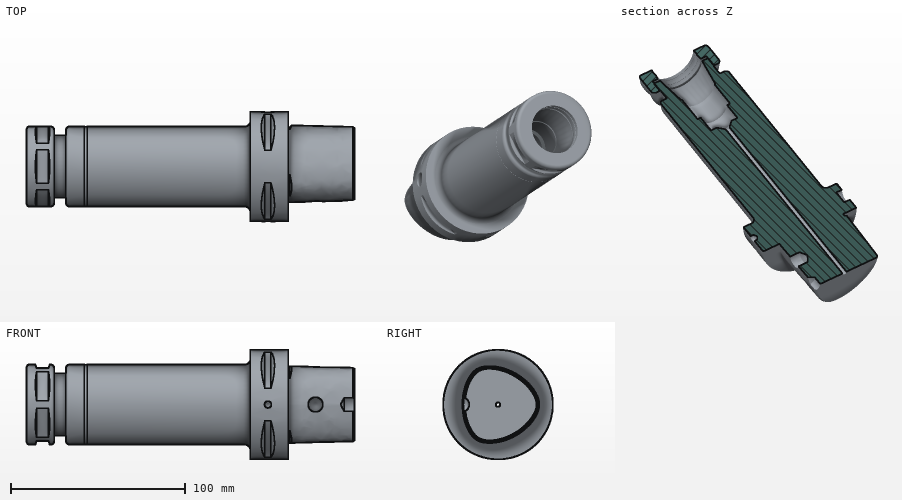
import cadquery as cq
import math

OVERALL_LENGTH = 188.0

NUT_LENGTH = 16.0
NUT_DIAMETER = 46.0
NUT_FRONT_ROUNDING = 1.9
NUT_BACK_ROUNDING = 2.3
NUT_MOUTH_DIAMETER = 28.0
NUT_RELIEF_DIAMETER = 28.4
NUT_GROOVE_START = 1.9
NUT_GROOVE_END = 3.5
NUT_RELIEF_START = 5.3
NUT_THROAT_LENGTH = 7.7
NUT_FLAT_COUNT = 6
NUT_ACROSS_FLATS = 42.0
NUT_FLAT_WIDTH = 6.8
NUT_FLAT_CENTER = 9.2
NUT_FLAT_WALL_ANGLE = 20.0

HOLDER_START = 9.2
NECK_DIAMETER = 36.0
BODY_START = 22.5
BODY_DIAMETER = 46.0
BODY_ROUNDING = 2.3
GROOVE_START = 33.0
GROOVE_WIDTH = 1.7
GROOVE_DEPTH = 0.1
COVE_RADIUS = 3.0
COVE_HEIGHT = 2.6

TAPER_MOUTH_DIAMETER = 28.2
TAPER_END_DIAMETER = 23.0
TAPER_HALF_ANGLE = 8.0
BORE_DIAMETER = 21.8
BORE_END = 45.1
STOP_HOLE_DIAMETER = 17.7
STOP_HOLE_END = 56.4
CENTER_CONE_DIAMETER = 9.8
CENTER_CONE_ANGLE = 90.0
COOLANT_DIAMETER = 2.5

FLANGE_DIAMETER = 63.0
FLANGE_START = 128.2
FLANGE_END = 150.0
GRIP_SLOT_COUNT = 4
GRIP_SLOT_HEIGHT = 27.8
GRIP_SLOT_WIDTH = 3.4
RIM_CUTS_CENTER = 138.4
GRIP_SLOT_WALL_ANGLE = 30.0
MARK_HOLE_DIAMETER = 4.0
MARK_HOLE_DEPTH = 1.9
CHIP_POCKET_DIAMETER = 8.5
CHIP_POCKET_DEPTH = 3.8

SHANK_DIAMETER = 44.2
LOBE_RISE = 1.6
HALF_OUTLINE_STEPS = 12
SHANK_TAPER = 1 / 40
TAPER_START = 152.0
UNDERCUT_RADIUS = 22.5
SHANK_CHAMFER_LENGTH = 1.1
SHANK_CHAMFER_HEIGHT = 0.8
SIDE_HOLE_DIAMETER = 8.5
SIDE_HOLE_CENTER = 165.6
SIDE_HOLE_DEPTH = 6.5
NOTCH_DIAMETER = 8.0
NOTCH_LENGTH = 5.8

DRILL_POINT_ANGLE = 118.0
CUT_CLEARANCE = 1.9


def revolve_about_x(profile):
    """Revolve a closed (x, radius) profile once around the X axis."""
    return profile.close().revolve(360, (0, 0, 0), (1, 0, 0))


def drill_point_length(diameter):
    return diameter / 2 / math.tan(math.radians(DRILL_POINT_ANGLE / 2))


def drill(tip, direction, diameter, length):
    """Drill-shaped tool that ends in a point at `tip` and extends backwards along `direction`."""
    point_length = drill_point_length(diameter)
    radius = diameter / 2
    plane = cq.Plane(origin=tip, xDir=(0, 0, 1), normal=direction)
    point = cq.Solid.makeCone(0, radius, point_length, plane.origin, plane.zDir)
    shaft = cq.Solid.makeCylinder(radius, length, plane.origin + plane.zDir * point_length, plane.zDir)
    return cq.Workplane(point).union(cq.Workplane(shaft))


def flared_slot(center_x, height, floor_width, wall_angle, outer_radius, angle):
    """Straight cut across a round rim: flat floor at `height`, side walls leaning outwards."""
    depth = outer_radius + CUT_CLEARANCE - height
    half_floor = floor_width / 2
    half_top = half_floor + depth * math.tan(math.radians(wall_angle))
    tool = (
        cq.Workplane("XZ")
        .moveTo(center_x - half_floor, height)
        .lineTo(center_x + half_floor, height)
        .lineTo(center_x + half_top, height + depth)
        .lineTo(center_x - half_top, height + depth)
        .close()
        .extrude(outer_radius, both=True)
    )
    return tool.rotate((0, 0, 0), (1, 0, 0), angle)


def make_nut():
    outer_radius = NUT_DIAMETER / 2
    neck_radius = NECK_DIAMETER / 2
    mouth_radius = NUT_MOUTH_DIAMETER / 2
    relief_radius = NUT_RELIEF_DIAMETER / 2
    nut = revolve_about_x(
        cq.Workplane("XY")
        .moveTo(0, mouth_radius)
        .lineTo(0, outer_radius - NUT_FRONT_ROUNDING)
        .radiusArc((NUT_FRONT_ROUNDING, outer_radius), NUT_FRONT_ROUNDING)
        .lineTo(NUT_LENGTH - NUT_BACK_ROUNDING, outer_radius)
        .radiusArc((NUT_LENGTH, outer_radius - NUT_BACK_ROUNDING), NUT_BACK_ROUNDING)
        .lineTo(NUT_LENGTH, neck_radius)
        .lineTo(NUT_THROAT_LENGTH, neck_radius)
        .lineTo(NUT_THROAT_LENGTH, relief_radius)
        .lineTo(NUT_RELIEF_START, relief_radius)
        .lineTo(NUT_RELIEF_START, mouth_radius)
        .lineTo(NUT_GROOVE_END, mouth_radius)
        .lineTo(NUT_GROOVE_END, relief_radius)
        .lineTo(NUT_GROOVE_START, relief_radius)
        .lineTo(NUT_GROOVE_START, mouth_radius)
    )
    for index in range(NUT_FLAT_COUNT):
        angle = index * 360 / NUT_FLAT_COUNT
        flat = flared_slot(
            NUT_FLAT_CENTER, NUT_ACROSS_FLATS / 2, NUT_FLAT_WIDTH, NUT_FLAT_WALL_ANGLE, outer_radius, angle
        )
        nut = nut.cut(flat)
    return nut


def make_body_and_flange():
    body_radius = BODY_DIAMETER / 2
    groove_radius = body_radius - GROOVE_DEPTH
    groove_end = GROOVE_START + GROOVE_WIDTH
    cove_run = math.sqrt(COVE_RADIUS**2 - (COVE_RADIUS - COVE_HEIGHT) ** 2)
    return revolve_about_x(
        cq.Workplane("XY")
        .moveTo(HOLDER_START, 0)
        .lineTo(HOLDER_START, NECK_DIAMETER / 2)
        .lineTo(BODY_START, NECK_DIAMETER / 2)
        .lineTo(BODY_START, body_radius - BODY_ROUNDING)
        .radiusArc((BODY_START + BODY_ROUNDING, body_radius), BODY_ROUNDING)
        .lineTo(GROOVE_START, body_radius)
        .lineTo(GROOVE_START, groove_radius)
        .lineTo(groove_end, groove_radius)
        .lineTo(groove_end, body_radius)
        .lineTo(FLANGE_START - cove_run, body_radius)
        .radiusArc((FLANGE_START, body_radius + COVE_HEIGHT), -COVE_RADIUS)
        .lineTo(FLANGE_START, FLANGE_DIAMETER / 2)
        .lineTo(FLANGE_END, FLANGE_DIAMETER / 2)
        .lineTo(FLANGE_END, 0)
    )


def shank_outline(x, mean_radius):
    """Three-lobed outline of constant width, with one lobe towards +Y and a flat side towards -Y."""

    def point(angle):
        y = mean_radius * math.cos(angle) + LOBE_RISE * (2 * math.cos(2 * angle) - math.cos(4 * angle))
        z = mean_radius * math.sin(angle) - LOBE_RISE * (2 * math.sin(2 * angle) + math.sin(4 * angle))
        return cq.Vector(x, y, z)

    step = math.pi / HALF_OUTLINE_STEPS
    halves = [
        cq.Edge.makeSpline([point(start + i * step) for i in range(HALF_OUTLINE_STEPS + 1)])
        for start in (0, math.pi)
    ]
    return cq.Wire.assembleEdges(halves)


def make_shank():
    chamfer_start = OVERALL_LENGTH - SHANK_CHAMFER_LENGTH
    large_radius = SHANK_DIAMETER / 2
    small_radius = large_radius - SHANK_TAPER * (chamfer_start - TAPER_START)
    sections = [
        shank_outline(FLANGE_END, large_radius),
        shank_outline(TAPER_START, large_radius),
        shank_outline(chamfer_start, small_radius),
        shank_outline(OVERALL_LENGTH, small_radius - SHANK_CHAMFER_HEIGHT),
    ]
    shank = cq.Workplane(cq.Solid.makeLoft(sections, True))
    lobe_radius = large_radius + LOBE_RISE
    undercut = revolve_about_x(
        cq.Workplane("XY")
        .moveTo(FLANGE_END, UNDERCUT_RADIUS)
        .lineTo(TAPER_START - (lobe_radius - UNDERCUT_RADIUS), UNDERCUT_RADIUS)
        .lineTo(TAPER_START, lobe_radius)
        .lineTo(TAPER_START, lobe_radius + CUT_CLEARANCE)
        .lineTo(FLANGE_END, lobe_radius + CUT_CLEARANCE)
    )
    return shank.cut(undercut)


def holder_bore():
    mouth_radius = TAPER_MOUTH_DIAMETER / 2
    taper_radius = TAPER_END_DIAMETER / 2
    taper_end = HOLDER_START + (mouth_radius - taper_radius) / math.tan(math.radians(TAPER_HALF_ANGLE))
    cone_radius = CENTER_CONE_DIAMETER / 2
    coolant_radius = COOLANT_DIAMETER / 2
    cone_end = STOP_HOLE_END + (cone_radius - coolant_radius) / math.tan(math.radians(CENTER_CONE_ANGLE / 2))
    return revolve_about_x(
        cq.Workplane("XY")
        .moveTo(HOLDER_START, 0)
        .lineTo(HOLDER_START, mouth_radius)
        .lineTo(taper_end, taper_radius)
        .lineTo(taper_end, BORE_DIAMETER / 2)
        .lineTo(BORE_END, BORE_DIAMETER / 2)
        .lineTo(BORE_END, STOP_HOLE_DIAMETER / 2)
        .lineTo(STOP_HOLE_END, STOP_HOLE_DIAMETER / 2)
        .lineTo(STOP_HOLE_END, cone_radius)
        .lineTo(cone_end, coolant_radius)
        .lineTo(OVERALL_LENGTH, coolant_radius)
        .lineTo(OVERALL_LENGTH, 0)
    )


def grip_slots():
    """Straight slots across the flange rim, midway between the Y and Z directions."""
    pitch = 360 / GRIP_SLOT_COUNT
    return [
        flared_slot(
            RIM_CUTS_CENTER,
            GRIP_SLOT_HEIGHT,
            GRIP_SLOT_WIDTH,
            GRIP_SLOT_WALL_ANGLE,
            FLANGE_DIAMETER / 2,
            (index + 0.5) * pitch,
        )
        for index in range(GRIP_SLOT_COUNT)
    ]


def radial_hole(center_x, surface_radius, diameter, depth):
    """Drilled hole entering from the -Y side; `depth` is its full-diameter part."""
    tip_radius = surface_radius - depth - drill_point_length(diameter)
    return drill((center_x, -tip_radius, 0), (0, -1, 0), diameter, depth + CUT_CLEARANCE)


def chip_pocket():
    """Flat-bottomed round pocket in the +Y side of the flange rim."""
    floor = FLANGE_DIAMETER / 2 - CHIP_POCKET_DEPTH
    plane = cq.Plane(origin=(RIM_CUTS_CENTER, floor, 0), xDir=(1, 0, 0), normal=(0, 1, 0))
    return cq.Workplane(plane).circle(CHIP_POCKET_DIAMETER / 2).extrude(CHIP_POCKET_DEPTH + CUT_CLEARANCE)


def end_notch(surface_radius):
    """Half-round notch drilled along X into the small end of the shank, centred on its -Y surface."""
    tip_x = OVERALL_LENGTH - NOTCH_LENGTH - drill_point_length(NOTCH_DIAMETER)
    return drill((tip_x, -surface_radius, 0), (1, 0, 0), NOTCH_DIAMETER, NOTCH_LENGTH + CUT_CLEARANCE)


def make_holder():
    shank_flat_radius = SHANK_DIAMETER / 2 - LOBE_RISE
    cutters = [
        holder_bore(),
        *grip_slots(),
        radial_hole(RIM_CUTS_CENTER, FLANGE_DIAMETER / 2, MARK_HOLE_DIAMETER, MARK_HOLE_DEPTH),
        chip_pocket(),
        radial_hole(SIDE_HOLE_CENTER, shank_flat_radius, SIDE_HOLE_DIAMETER, SIDE_HOLE_DEPTH),
        end_notch(shank_flat_radius),
    ]
    holder = make_body_and_flange().union(make_shank())
    for cutter in cutters:
        holder = holder.cut(cutter)
    return holder


nut = make_nut()
holder = make_holder()
result = cq.Compound.makeCompound([nut.val(), holder.val()])